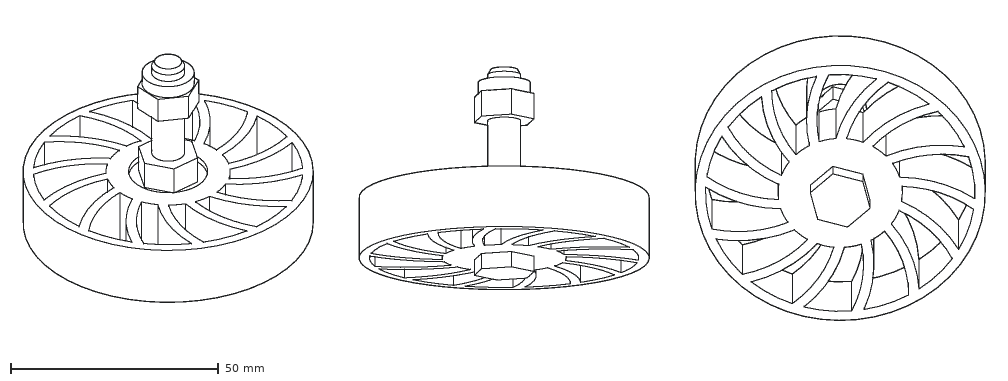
import cadquery as cq
import math

wheel_diameter = 70.0
wheel_height = 15.0
rim_thickness = 2.5
hub_radius = 15.0
recess_radius = 9.5
recess_depth = 1.5

spoke_count = 14
spoke_thickness = 2.5
spoke_arc_radius = 30.5
spoke_arc_offset = 30.8
spoke_arc_angle = 80.9

stud_diameter = 8.0
stud_chamfer_height = 1.25
stud_chamfer_inset = 0.7
nut_across_flats = 13.0
lower_nut_drop = 3.8
middle_nut_rise = 5.45
upper_nut_base = 19.0
upper_nut_height = 6.3
collar_diameter = 12.6
collar_height = 3.15
total_height = 50.3

wheel_radius = wheel_diameter / 2
rim_inner_radius = wheel_radius - rim_thickness
recess_floor = wheel_height - recess_depth
upper_nut_bottom = wheel_height + upper_nut_base
collar_bottom = upper_nut_bottom + upper_nut_height
nut_across_corners = nut_across_flats / math.cos(math.pi / 6)


def cylinder(radius, bottom, height):
    return cq.Workplane("XY").workplane(offset=bottom).circle(radius).extrude(height)


def ring(outer_radius, inner_radius, height):
    return cq.Workplane("XY").circle(outer_radius).circle(inner_radius).extrude(height)


def hex_nut(bottom, height, turn):
    """Hexagonal prism with a corner on +X before it is turned about Z."""
    nut = cq.Workplane("XY").workplane(offset=bottom).polygon(6, nut_across_corners).extrude(height)
    return nut.rotate((0, 0, 0), (0, 0, 1), turn)


def curved_spoke():
    """First spoke, reaching from inside the hub to the middle of the rim wall."""
    angle = math.radians(spoke_arc_angle)
    arc_centre = (spoke_arc_offset * math.cos(angle), spoke_arc_offset * math.sin(angle))
    half_thickness = spoke_thickness / 2
    sweep = ring(spoke_arc_radius + half_thickness, spoke_arc_radius - half_thickness, wheel_height)
    sweep = sweep.translate((arc_centre[0], arc_centre[1], 0))
    span = ring(wheel_radius - rim_thickness / 2, hub_radius - spoke_thickness / 2, wheel_height)
    side = cq.Workplane("XY").rect(wheel_diameter, wheel_diameter).extrude(wheel_height)
    side = side.translate((0, -wheel_radius, 0)).rotate((0, 0, 0), (0, 0, 1), spoke_arc_angle)
    return sweep.intersect(span).intersect(side)


def wheel():
    body = ring(wheel_radius, rim_inner_radius, wheel_height)
    body = body.union(cylinder(hub_radius, 0, wheel_height))
    spoke = curved_spoke()
    for index in range(spoke_count):
        body = body.union(spoke.rotate((0, 0, 0), (0, 0, 1), index * 360 / spoke_count))
    return body.cut(cylinder(recess_radius, recess_floor, recess_depth))


def stud_and_nuts():
    stud_length = total_height - lower_nut_drop
    stud = cylinder(stud_diameter / 2, 0, stud_length)
    stud = stud.faces(">Z").chamfer(stud_chamfer_height, stud_chamfer_inset)
    lower_nut = hex_nut(-lower_nut_drop, lower_nut_drop, 0)
    middle_nut = hex_nut(recess_floor, recess_depth + middle_nut_rise, 30)
    upper_nut = hex_nut(upper_nut_bottom, upper_nut_height, 0)
    collar = cylinder(collar_diameter / 2, collar_bottom, collar_height)
    return stud.union(lower_nut).union(middle_nut).union(upper_nut).union(collar)


result = wheel().union(stud_and_nuts())